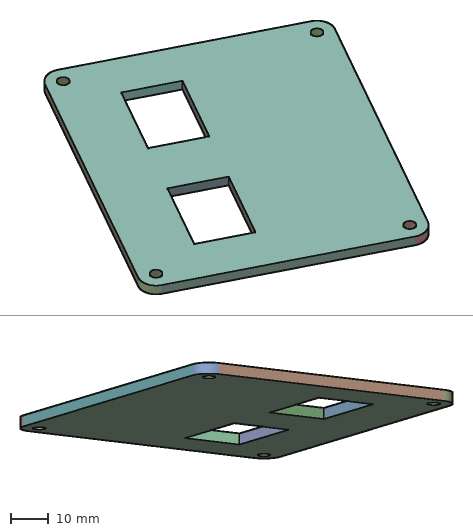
import cadquery as cq

length = 95.1
width = 80.7
thickness = 3.0
corner_radius = 5.0

hole_diameter = 3.4
hole_spacing_x = length - 2 * corner_radius
hole_spacing_y = width - 2 * corner_radius

window_length = 24.5
window_width = 17.0
window_spacing = 42.3
window_center_y = -13.4

plate = (
    cq.Workplane("XY")
    .box(length, width, thickness, centered=(True, True, False))
    .edges("|Z")
    .fillet(corner_radius)
)

screw_holes = (
    cq.Workplane("XY")
    .rect(hole_spacing_x, hole_spacing_y, forConstruction=True)
    .vertices()
    .circle(hole_diameter / 2)
    .extrude(thickness)
)

windows = (
    cq.Workplane("XY")
    .pushPoints([(side * window_spacing / 2, window_center_y) for side in (-1, 1)])
    .rect(window_length, window_width)
    .extrude(thickness)
)

result = plate.cut(screw_holes).cut(windows)